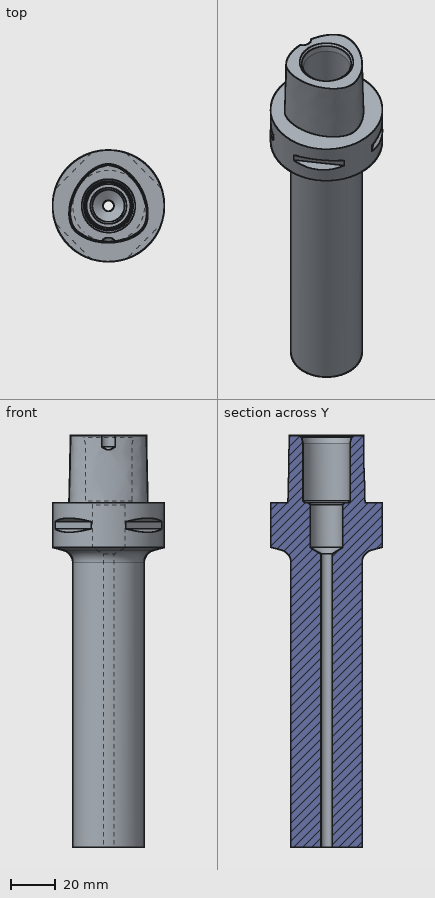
import cadquery as cq
import math

total_length = 184.0
taper_length = 30.0
flange_thickness = 20.0
flange_top = total_length - taper_length
flange_bottom = flange_top - flange_thickness

flange_radius = 25.0
shank_radius = 16.0
neck_fillet = 5.5
underside_angle = math.radians(15)

coupling_base_width = 35.3
coupling_top_width = 34.0
coupling_lobe = 1.12
outline_points = 48

slot_count = 4
slot_center_z = flange_top - 10.1
slot_floor_width = 3.1
slot_floor_distance = 22.3
slot_wall_angle = math.radians(30)

notch_radius = 3.5
notch_floor_y = -14.2
notch_depth = 5.2
notch_tip_angle = math.radians(55)

mouth_radius = 12.0
mouth_chamfer = 1.0
lead_in_depth = 3.5
bore_radius = 10.5
bore_floor_chamfer = 0.7
bore_depth = 30.0
drill_mouth_radius = 8.1
drill_radius = 7.2
drill_depth = 50.0
drill_tip_angle = math.radians(59)
coolant_radius = 2.4


def make_body():
    """Shank, filleted neck and flange, turned about Z."""
    fillet_center_r = shank_radius + neck_fillet
    fillet_end_r = fillet_center_r - neck_fillet * math.sin(underside_angle)
    fillet_end_z = flange_bottom - (flange_radius - fillet_end_r) * math.tan(underside_angle)
    fillet_center_z = fillet_end_z - neck_fillet * math.cos(underside_angle)
    middle_angle = (math.pi / 2 - underside_angle) / 2
    fillet_middle = (
        fillet_center_r - neck_fillet * math.cos(middle_angle),
        fillet_center_z + neck_fillet * math.sin(middle_angle),
    )
    return (
        cq.Workplane("XZ")
        .lineTo(shank_radius, 0)
        .lineTo(shank_radius, fillet_center_z)
        .threePointArc(fillet_middle, (fillet_end_r, fillet_end_z))
        .lineTo(flange_radius, flange_bottom)
        .lineTo(flange_radius, flange_top)
        .lineTo(0, flange_top)
        .close()
        .revolve(360, (0, 0, 0), (0, 1, 0))
    )


def coupling_outline(width):
    """Points on a three-lobed curve of constant width, starting at -Y."""
    points = []
    for index in range(outline_points):
        angle = 2 * math.pi * index / outline_points - math.pi / 2
        lobe_phase = 3 * (angle - math.pi / 2)
        reach = width / 2 + coupling_lobe * math.cos(lobe_phase)
        slide = -3 * coupling_lobe * math.sin(lobe_phase)
        points.append((
            reach * math.cos(angle) - slide * math.sin(angle),
            reach * math.sin(angle) + slide * math.cos(angle),
        ))
    return points


def make_coupling():
    """Tapered three-lobed coupling standing on the flange."""
    return (
        cq.Workplane("XY", origin=(0, 0, flange_top))
        .spline(coupling_outline(coupling_base_width), periodic=True)
        .close()
        .workplane(offset=taper_length)
        .spline(coupling_outline(coupling_top_width), periodic=True)
        .close()
        .loft(ruled=True)
    )


def make_slot(angle):
    """Flat-floored slot with flared walls, cut as a chord of the flange at the given angle."""
    depth = flange_radius - slot_floor_distance
    floor_half = slot_floor_width / 2
    mouth_half = floor_half + depth * math.tan(slot_wall_angle)
    return (
        cq.Workplane("XZ", origin=(0, 0, slot_center_z))
        .moveTo(slot_floor_distance, -floor_half)
        .lineTo(slot_floor_distance, floor_half)
        .lineTo(flange_radius, mouth_half)
        .lineTo(flange_radius, -mouth_half)
        .close()
        .extrude(flange_radius, both=True)
        .rotate((0, 0, 0), (0, 0, 1), angle)
    )


def make_notch():
    """Round-bottomed vertical notch with a conical lower end."""
    tip_height = notch_radius / math.tan(notch_tip_angle)
    return (
        cq.Workplane("XZ")
        .moveTo(0, total_length)
        .lineTo(notch_radius, total_length)
        .lineTo(notch_radius, total_length - notch_depth)
        .lineTo(0, total_length - notch_depth - tip_height)
        .close()
        .revolve(360, (0, 0, 0), (0, 1, 0))
        .translate((0, notch_floor_y - notch_radius, 0))
    )


def make_bore():
    """Chamfered mouth, tapered lead-in, bore, drilled hole with a conical end and through hole."""
    tip_height = (drill_radius - coolant_radius) / math.tan(drill_tip_angle)
    drill_mouth_chamfer = drill_mouth_radius - drill_radius
    lead_in_start = mouth_radius - mouth_chamfer
    profile = [
        (0, total_length),
        (mouth_radius, total_length),
        (lead_in_start, total_length - mouth_chamfer),
        (bore_radius, total_length - lead_in_depth),
        (bore_radius, total_length - bore_depth + bore_floor_chamfer),
        (bore_radius - bore_floor_chamfer, total_length - bore_depth),
        (drill_mouth_radius, total_length - bore_depth),
        (drill_radius, total_length - bore_depth - drill_mouth_chamfer),
        (drill_radius, total_length - drill_depth),
        (coolant_radius, total_length - drill_depth - tip_height),
        (coolant_radius, 0),
        (0, 0),
    ]
    return cq.Workplane("XZ").polyline(profile).close().revolve(360, (0, 0, 0), (0, 1, 0))


result = make_body().union(make_coupling())
for slot_index in range(slot_count):
    result = result.cut(make_slot((slot_index + 0.5) * 360 / slot_count))
result = result.cut(make_notch()).cut(make_bore())